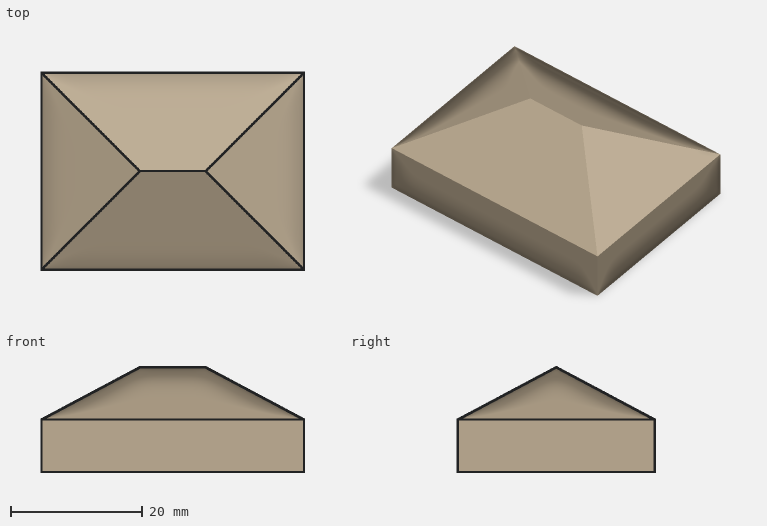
import cadquery as cq
import math

length = 40.0
width = 30.0
base_height = 8.0
roof_pitch = 28.0

half_length = length / 2
half_width = width / 2
total_height = base_height + half_width * math.tan(math.radians(roof_pitch))
half_ridge = half_length - half_width

gable = (
    cq.Workplane("YZ")
    .polyline([
        (-half_width, 0),
        (half_width, 0),
        (half_width, base_height),
        (0, total_height),
        (-half_width, base_height),
    ])
    .close()
    .extrude(half_length, both=True)
)

hips = (
    cq.Workplane("XZ")
    .polyline([
        (-half_length, 0),
        (half_length, 0),
        (half_length, base_height),
        (half_ridge, total_height),
        (-half_ridge, total_height),
        (-half_length, base_height),
    ])
    .close()
    .extrude(half_width, both=True)
)

result = gable.intersect(hips)